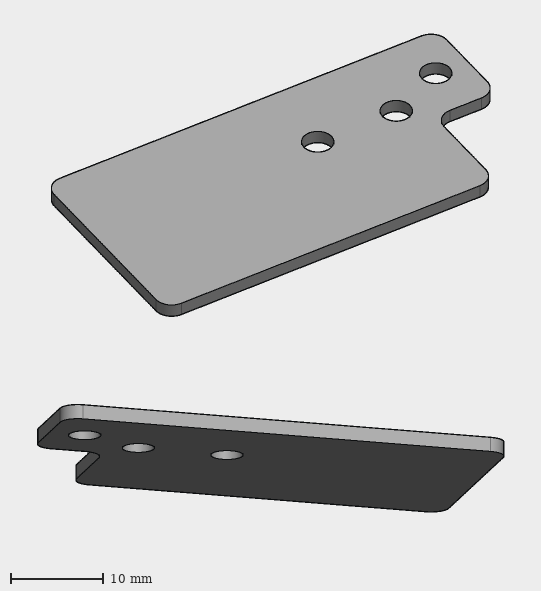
import cadquery as cq

width = 25.0
length = 50.0
thickness = 1.6
corner_radius = 2.0

tab_width = 12.4
notch_depth = 8.0

hole_diameter = 3.5
tab_hole_y = length - 4.0
body_hole_x = 9.4
upper_body_hole_y = length - 11.0
body_hole_spacing = 10.0
hole_centers = [
    (tab_width / 2, tab_hole_y),
    (body_hole_x, upper_body_hole_y),
    (body_hole_x, upper_body_hole_y - body_hole_spacing),
]

shoulder_y = length - notch_depth
outline = [
    (0, 0),
    (width, 0),
    (width, shoulder_y),
    (tab_width, shoulder_y),
    (tab_width, length),
    (0, length),
]
plate = cq.Workplane("XY").polyline(outline).close().extrude(thickness)
plate = plate.edges("|Z").fillet(corner_radius)

holes = cq.Workplane("XY").pushPoints(hole_centers).circle(hole_diameter / 2).extrude(thickness)
result = plate.cut(holes)